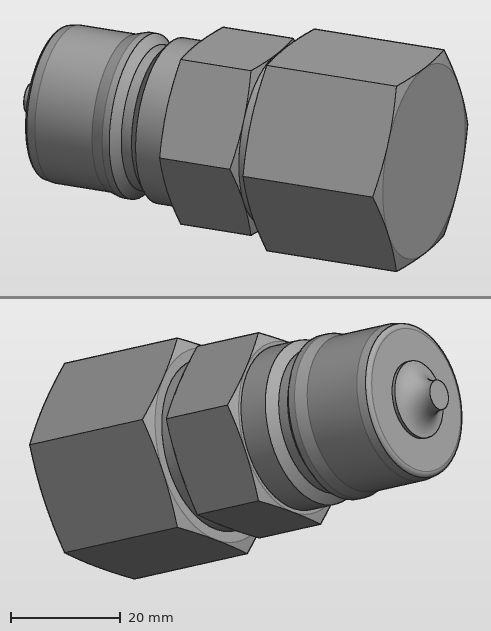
import cadquery as cq
import math

flare_end = 4.65
nose_face = 5.3
nose_edge_end = 5.9
nose_taper_end = 7.65
nose_end = 19.1
collar_start, collar_end = 21.4, 22.85
groove_start, groove_end = 24.4, 26.5
shoulder_start = 28.1
small_hex_start, small_hex_end = 33.7, 49.1
large_hex_start, total_length = 51.4, 78.8

tip_radius = 2.75
flare_radius = 7.2
nose_face_radius = 13.2
nose_edge_radius = 14.3
nose_radius = 14.6
collar_radius = 15.3
groove_radius = 13.5
neck_radius = 16.0

nose_edge_round = 1.2

small_hex_flats = 32.0
large_hex_flats = 36.0
chamfer_angle = 15


def turned_body():
    """Revolved plug: flared poppet, rounded nose, locking groove, shoulder and neck."""
    flare_start = (0, tip_radius)
    flare_middle = (
        flare_end * math.sin(math.pi / 4),
        flare_radius - (flare_radius - tip_radius) * math.cos(math.pi / 4),
    )
    flare_rim = (flare_end, flare_radius)
    profile = (
        cq.Workplane("XY")
        .lineTo(*flare_start)
        .threePointArc(flare_middle, flare_rim)
        .lineTo(nose_face, flare_radius)
        .lineTo(nose_face, nose_face_radius)
        .radiusArc((nose_edge_end, nose_edge_radius), nose_edge_round)
        .lineTo(nose_taper_end, nose_radius)
        .lineTo(nose_end, nose_radius)
        .lineTo(collar_start, collar_radius)
        .lineTo(collar_end, collar_radius)
        .lineTo(groove_start, groove_radius)
        .lineTo(groove_end, groove_radius)
        .lineTo(shoulder_start, collar_radius)
        .lineTo(small_hex_start, collar_radius)
        .lineTo(small_hex_start, neck_radius)
        .lineTo(large_hex_start, neck_radius)
        .lineTo(large_hex_start, 0)
        .close()
    )
    return profile.revolve(360, (0, 0, 0), (1, 0, 0))


def chamfered_hexagon(start, end, across_flats):
    """Hexagon with corners pointing along Y, both ends turned to a shallow cone."""
    flat_radius = across_flats / 2
    corner_radius = flat_radius / math.cos(math.pi / 6)
    chamfer_length = (corner_radius - flat_radius) * math.tan(math.radians(chamfer_angle))
    prism = (
        cq.Workplane("YZ", origin=(start, 0, 0))
        .polygon(6, 2 * corner_radius)
        .extrude(end - start)
    )
    envelope = (
        cq.Workplane("XY")
        .moveTo(start, 0)
        .lineTo(start, flat_radius)
        .lineTo(start + chamfer_length, corner_radius)
        .lineTo(end - chamfer_length, corner_radius)
        .lineTo(end, flat_radius)
        .lineTo(end, 0)
        .close()
        .revolve(360, (0, 0, 0), (1, 0, 0))
    )
    return prism.intersect(envelope)


small_hex = chamfered_hexagon(small_hex_start, small_hex_end, small_hex_flats)
large_hex = chamfered_hexagon(large_hex_start, total_length, large_hex_flats)
result = turned_body().union(small_hex).union(large_hex)